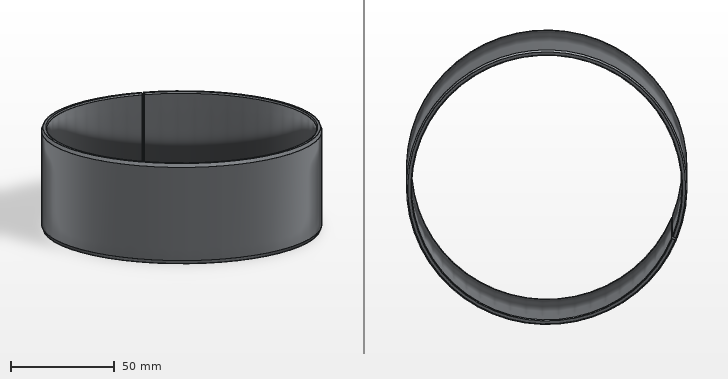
import cadquery as cq

outer_diameter = 135.0
inner_diameter = 130.0
length = 50.0

outer_chamfer_height = 1.8
outer_chamfer_depth = 0.7
inner_chamfer_height = 0.8
inner_chamfer_depth = 0.4

slit_width = 1.1

outer_radius = outer_diameter / 2
inner_radius = inner_diameter / 2
half_length = length / 2


def bushing_ring():
    """Revolve the chamfered wall section around the Z axis."""
    section = [
        (inner_radius + inner_chamfer_depth, -half_length),
        (outer_radius - outer_chamfer_depth, -half_length),
        (outer_radius, -half_length + outer_chamfer_height),
        (outer_radius, half_length - outer_chamfer_height),
        (outer_radius - outer_chamfer_depth, half_length),
        (inner_radius + inner_chamfer_depth, half_length),
        (inner_radius, half_length - inner_chamfer_height),
        (inner_radius, -half_length + inner_chamfer_height),
    ]
    return cq.Workplane("XZ").polyline(section).close().revolve(360, (0, 0), (0, 1))


def slit_cutter():
    """Thin block that opens the ring on the -X side only."""
    return cq.Workplane("XY").box(
        outer_diameter, slit_width, 2 * length, centered=(True, False, True)
    ).translate((-outer_radius, 0, 0))


result = bushing_ring().cut(slit_cutter())